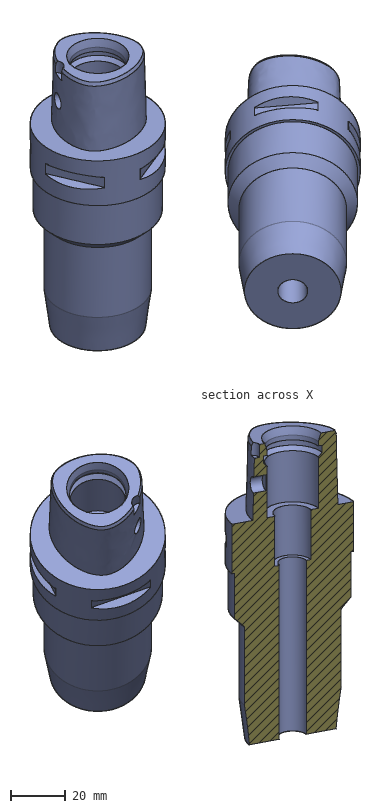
import cadquery as cq
import math

TOTAL_HEIGHT = 120
FLANGE_TOP = 90
FLANGE_BOTTOM = 70.0
COLLAR_BOTTOM = 51.8
BARREL_TOP = 47.8
NOSE_TOP = 16.5
FLANGE_RADIUS = 50.0 / 2
COLLAR_RADIUS = 24
BARREL_RADIUS = 40.0 / 2
NOSE_RADIUS = 17.9

SHANK_BASE_RADIUS = 35.2 / 2
SHANK_TAPER = 1 / 40
LOBE_HEIGHT = 1.1
OUTLINE_POINTS = 48
LEAD_IN_HEIGHT = 1.5
LEAD_IN_INSET = 0.6

MOUTH_RADIUS = 11.5
MOUTH_DEPTH = 3.2
SEAT_RADIUS = 10.5
SEAT_DEPTH = TOTAL_HEIGHT - FLANGE_TOP
GROOVE_START_DEPTH = 5.2
GROOVE_END_DEPTH = 9.5
GROOVE_RADIUS = 12
BORE_RADIUS = 7.3
BORE_DEPTH = TOTAL_HEIGHT - FLANGE_BOTTOM
THROUGH_RADIUS = 5.5

KEY_RADIUS = 3.1
KEY_DEPTH = 5.2
KEY_FLOOR_Y = -13.8
HOLE_Z = 104.0
HOLE_FLOOR_Y = -11.0

POCKET_COUNT = 4
POCKET_Z = 80.2
POCKET_FLOOR_DISTANCE = 21.8
POCKET_LENGTH = 23.6
POCKET_FLOOR_HEIGHT = 4.5
POCKET_MOUTH_HEIGHT = 6.6


def lobed_point(radius, angle):
    """Point on a constant-width trilobe with one lobe toward +Y, starting at -Y."""
    direction = angle - math.pi / 2
    support = radius - LOBE_HEIGHT * math.cos(3 * angle)
    slope = 3 * LOBE_HEIGHT * math.sin(3 * angle)
    x = support * math.cos(direction) - slope * math.sin(direction)
    y = support * math.sin(direction) + slope * math.cos(direction)
    return x, y


def lobed_outline(radius, height):
    angles = [2 * math.pi * index / OUTLINE_POINTS for index in range(OUTLINE_POINTS)]
    points = [cq.Vector(*lobed_point(radius, angle), height) for angle in angles]
    return cq.Wire.assembleEdges([cq.Edge.makeSpline(points, periodic=True)])


def lobed_frustum(bottom, top, bottom_radius, top_radius):
    outlines = [lobed_outline(bottom_radius, bottom), lobed_outline(top_radius, top)]
    return cq.Workplane(cq.Solid.makeLoft(outlines, True))


def make_body():
    return (
        cq.Workplane("XZ")
        .polyline([
            (0, 0),
            (NOSE_RADIUS, 0),
            (BARREL_RADIUS, NOSE_TOP),
            (BARREL_RADIUS, BARREL_TOP),
            (COLLAR_RADIUS, COLLAR_BOTTOM),
            (COLLAR_RADIUS, FLANGE_BOTTOM),
            (FLANGE_RADIUS, FLANGE_BOTTOM),
            (FLANGE_RADIUS, FLANGE_TOP),
            (0, FLANGE_TOP),
        ])
        .close()
        .revolve(360, (0, 0), (0, 1))
    )


def make_shank():
    lead_in_z = TOTAL_HEIGHT - LEAD_IN_HEIGHT
    lead_in_radius = SHANK_BASE_RADIUS - SHANK_TAPER * (lead_in_z - FLANGE_TOP)
    taper = lobed_frustum(FLANGE_TOP, lead_in_z, SHANK_BASE_RADIUS, lead_in_radius)
    lead_in = lobed_frustum(lead_in_z, TOTAL_HEIGHT, lead_in_radius, lead_in_radius - LEAD_IN_INSET)
    return taper.union(lead_in)


def make_bore():
    """Stepped bore with a tapered mouth and a groove whose lower flank slopes at 45 degrees."""
    mouth_floor = TOTAL_HEIGHT - MOUTH_DEPTH
    groove_top = TOTAL_HEIGHT - GROOVE_START_DEPTH
    groove_bottom = TOTAL_HEIGHT - GROOVE_END_DEPTH
    groove_flank = GROOVE_RADIUS - SEAT_RADIUS
    seat_floor = TOTAL_HEIGHT - SEAT_DEPTH
    bore_floor = TOTAL_HEIGHT - BORE_DEPTH
    return (
        cq.Workplane("XZ")
        .polyline([
            (0, 0),
            (THROUGH_RADIUS, 0),
            (THROUGH_RADIUS, bore_floor),
            (BORE_RADIUS, bore_floor),
            (BORE_RADIUS, seat_floor),
            (SEAT_RADIUS, seat_floor),
            (SEAT_RADIUS, groove_bottom),
            (GROOVE_RADIUS, groove_bottom + groove_flank),
            (GROOVE_RADIUS, groove_top),
            (SEAT_RADIUS, groove_top),
            (SEAT_RADIUS, mouth_floor),
            (MOUTH_RADIUS, TOTAL_HEIGHT),
            (0, TOTAL_HEIGHT),
        ])
        .close()
        .revolve(360, (0, 0), (0, 1))
    )


def make_keyway():
    return (
        cq.Workplane("XY", origin=(0, KEY_FLOOR_Y - KEY_RADIUS, TOTAL_HEIGHT))
        .circle(KEY_RADIUS)
        .extrude(-KEY_DEPTH)
    )


def make_side_hole():
    return (
        cq.Workplane("XZ", origin=(0, HOLE_FLOOR_Y, HOLE_Z))
        .circle(KEY_RADIUS)
        .extrude(FLANGE_RADIUS)
    )


def make_pocket(angle):
    """Flat-floored pocket with sloping top and bottom walls, open through the flange rim."""
    floor_half = POCKET_FLOOR_HEIGHT / 2
    mouth_half = POCKET_MOUTH_HEIGHT / 2
    return (
        cq.Workplane("XZ", origin=(0, 0, POCKET_Z))
        .polyline([
            (POCKET_FLOOR_DISTANCE, -floor_half),
            (FLANGE_RADIUS, -mouth_half),
            (FLANGE_RADIUS, mouth_half),
            (POCKET_FLOOR_DISTANCE, floor_half),
        ])
        .close()
        .extrude(POCKET_LENGTH / 2, both=True)
        .rotate((0, 0, 0), (0, 0, 1), angle)
    )


result = make_body().union(make_shank())
result = result.cut(make_bore()).cut(make_keyway()).cut(make_side_hole())
pocket_step = 360 / POCKET_COUNT
for index in range(POCKET_COUNT):
    result = result.cut(make_pocket((index + 0.5) * pocket_step))